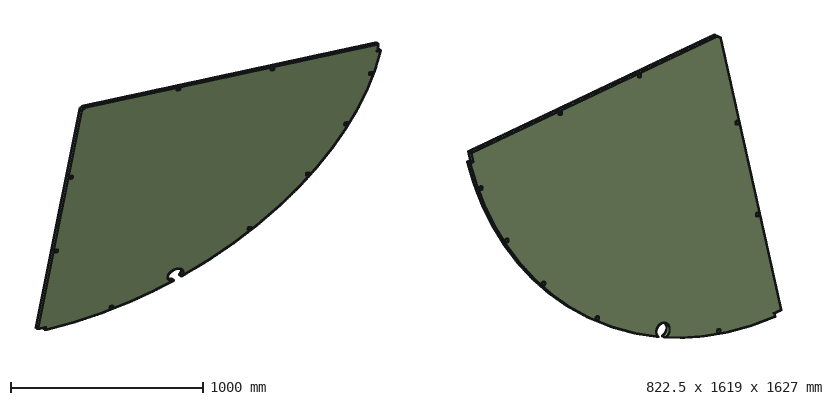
import cadquery as cq
import math

slope = 0.25
thickness_x = 21.0
sheet_x_span = 823.0
height = 1627.0

arc_offset = 8.0
arc_y = -arc_offset
arc_z = height

tip_step = 20.0
tip_length = 52.0
arc_reach = height
arc_radius = math.hypot(arc_reach, tip_length)
corner_chamfer = 16.0
top_fall = 3.0

pin_diameter = 20.0
edge_margin = 15.0
arc_margin = 16.0
side_pin_heights = (582.0, 1118.0)
top_pin_places = (520.0, 1030.0)
arc_pin_angles = (7.5, 20.0, 32.7, 47.5, 75.7)
port_diameter = 83.0
port_angle = 63.0
port_margin = 35.0


def arc_point(angle, margin=0.0):
    """Point in (Y, Z), at the given angle below horizontal and inset from the arc."""
    radius = arc_radius - margin
    turn = math.radians(angle)
    return arc_y + radius * math.cos(turn), arc_z - radius * math.sin(turn)


def outline():
    """Quarter-round outline in (Y, Z), extruded through the whole X span."""
    arc_top = (arc_y + arc_reach, arc_z - tip_length)
    tip_y = tip_length + arc_y
    arc_bottom = (tip_y, arc_z - arc_reach)
    side_top = height - top_fall
    return (
        cq.Workplane("YZ")
        .moveTo(0, tip_step)
        .lineTo(tip_y, tip_step)
        .lineTo(*arc_bottom)
        .threePointArc(arc_point(45), arc_top)
        .lineTo(arc_top[0] - tip_step, arc_top[1])
        .lineTo(arc_top[0] - tip_step, height)
        .lineTo(corner_chamfer, side_top)
        .lineTo(0, side_top - corner_chamfer)
        .close()
        .extrude(sheet_x_span)
    )


def leaning_slab():
    """Oversized flat slab carrying the lean of the sheet."""
    start_x = -slope * tip_step
    normal = cq.Vector(1, -slope, -slope)
    thickness = thickness_x / normal.Length
    plane = cq.Plane(origin=(start_x, 0, 0), xDir=(slope, 1, 0), normal=normal)
    return cq.Workplane(plane).rect(4 * height, 4 * height).extrude(thickness)


def drills(points, diameter):
    """Round cutters along X at the given (Y, Z) points."""
    return cq.Workplane("YZ").pushPoints(points).circle(diameter / 2).extrude(sheet_x_span)


pins = [(edge_margin, z) for z in side_pin_heights]
pins += [(y, height - edge_margin) for y in top_pin_places]
pins += [arc_point(angle, arc_margin) for angle in arc_pin_angles]
port = [arc_point(port_angle, port_margin)]

result = outline().intersect(leaning_slab())
result = result.cut(drills(pins, pin_diameter)).cut(drills(port, port_diameter))